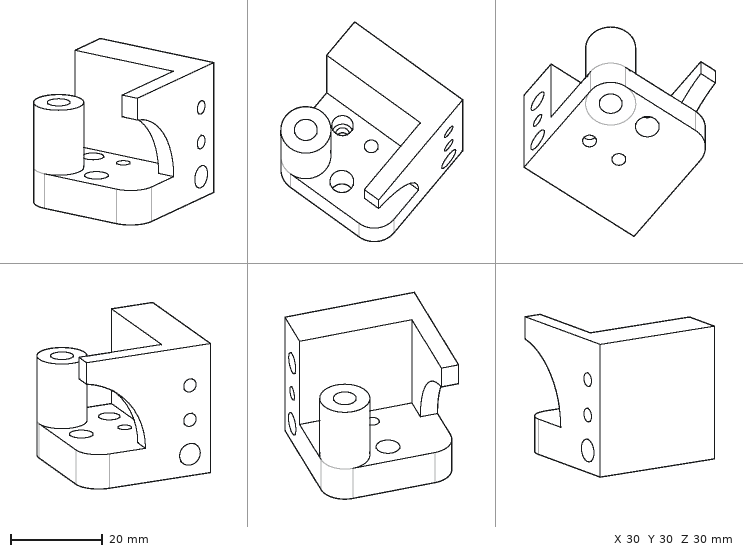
import cadquery as cq

length = 30.0
width = 30.0
height = 30.0

floor_thickness = 8.0
back_wall_thickness = 10.0
side_wall_thickness = 4.0

post_diameter = 11.0
post_height = 23.0
post_bore_diameter = 5.0
corner_radius = post_diameter / 2

relief_center_y = -3.0
relief_radius = 17.25

screw_diameter = 3.0
insert_diameter = 4.7
insert_depth = 5.0
floor_bore_diameter = 5.2
wall_bore_diameter = 5.0

hole_pitch = 8.0
insert_x = 7.5
right_hole_x = insert_x + hole_pitch
rear_hole_y = 16.0

wall_hole_y = width - back_wall_thickness / 2
wall_bore_z = 5.0
wall_screw_z = wall_bore_z + hole_pitch
wall_insert_z = wall_screw_z + hole_pitch


def block(size_x, size_y, size_z, corner=(0, 0, 0)):
    """Box grown from its lowest corner along the positive axes."""
    return cq.Workplane("XY").box(size_x, size_y, size_z, centered=False).translate(corner)


def vertical_cylinder(x, y, diameter, depth, bottom=0.0):
    return cq.Workplane("XY", origin=(x, y, bottom)).circle(diameter / 2).extrude(depth)


def cylinder_along_x(y, z, diameter, depth, start=0.0):
    return cq.Workplane("YZ", origin=(start, y, z)).circle(diameter / 2).extrude(depth)


def make_floor():
    """Floor plate with both front corners rounded."""
    plate = block(length, width, floor_thickness)
    return plate.edges("|Z and <Y").fillet(corner_radius)


def make_back_wall():
    return block(length, back_wall_thickness, height, (0, width - back_wall_thickness, 0))


def make_side_wall():
    """Wall on the right side above the floor, with the round relief cut from its front."""
    wall_x = length - side_wall_thickness
    wall_height = height - floor_thickness
    wall = block(side_wall_thickness, width, wall_height, (wall_x, 0, floor_thickness))
    relief = cylinder_along_x(
        relief_center_y, floor_thickness, 2 * relief_radius, side_wall_thickness, wall_x
    )
    return wall.cut(relief)


def make_post():
    return vertical_cylinder(corner_radius, corner_radius, post_diameter, post_height)


def drill_vertical_holes(body):
    """Bore of the post and the three holes through the floor, one widened for an insert."""
    body = body.cut(vertical_cylinder(corner_radius, corner_radius, post_bore_diameter, post_height))
    body = body.cut(vertical_cylinder(right_hole_x, corner_radius, floor_bore_diameter, floor_thickness))
    for x in (insert_x, right_hole_x):
        body = body.cut(vertical_cylinder(x, rear_hole_y, screw_diameter, floor_thickness))
    insert_bottom = floor_thickness - insert_depth
    return body.cut(vertical_cylinder(insert_x, rear_hole_y, insert_diameter, insert_depth, insert_bottom))


def drill_wall_holes(body):
    """Three holes along the whole back wall, the top one widened at the left for an insert."""
    body = body.cut(cylinder_along_x(wall_hole_y, wall_bore_z, wall_bore_diameter, length))
    for z in (wall_screw_z, wall_insert_z):
        body = body.cut(cylinder_along_x(wall_hole_y, z, screw_diameter, length))
    return body.cut(cylinder_along_x(wall_hole_y, wall_insert_z, insert_diameter, insert_depth))


body = make_floor().union(make_back_wall()).union(make_side_wall()).union(make_post())
body = drill_vertical_holes(body)
result = drill_wall_holes(body)